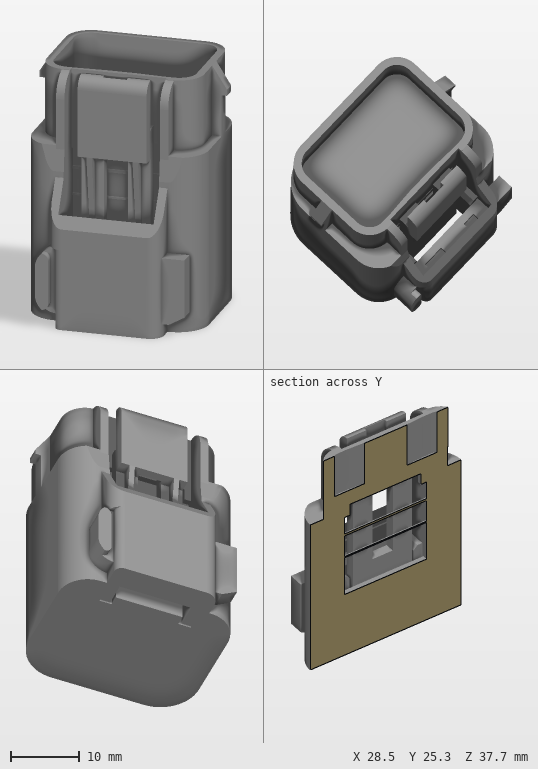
import cadquery as cq
import math

total_height = 37.7
overlap = 0.38

body_height = 26.9
body_half_width = 13.42
body_back = 9.42
body_front = -12.03
body_front_radius = 4.7
body_back_radius = 6.1
back_draft = 0.3
lead_in_back = -11.65
lead_in_top = 26.35
lead_in_bottom = 23.05

collar_half_width = 12.0
collar_half_depth = 8.8
collar_radius = 3.8
collar_wall = 1.15
cavity_floor = 30.25
cavity_bulge = 0.25
cavity_bulge_half_width = 6.8

lug_width = 2.07
lug_half_span = 14.25
lug_bottom = 33.25
lug_shoulder = 34.2

key_half_width = 1.7
key_height = 30.65

slot_half_width = 7.25
slot_back = -8.18
slot_front = body_front
cheek_half_width = 8.52
cheek_radius = 3.62
relief_back = -7.3
relief_top = 25.5
relief_bottom = 11.3
relief_center_top = 27.5
relief_center_half_width = 6.25
relief_rib_depth = 0.3
relief_ribs = [(22.05, 22.5), (18.02, 18.32)]

latch_half_width = 5.25
latch_front = lead_in_back
latch_bottom = relief_top
latch_radius = 1.9
arm_front = -9.73
arm_top = 30.15
arm_chamfer = 0.4
window_half_width = 1.8
window_bottom = 14.8
latch_notch_front = -10.33
gusset_inner = 3.1
gusset_outer = 3.92
gusset_bottom = 12.45

guide_back = -8.45
guide_top = 13.57
guide_flat_edge = 6.37
guide_inner = 5.65

bracket_front = -15.85
bracket_radius = 2.05
bracket_slope_top = 22.13
bracket_slope_bottom = 15.55
pocket_front = -14.78
pocket_ledge = -14.48
pocket_floor = 12.18
ledge_top = 14.33
set_in_height = 12.3
set_in_side = 7.7
floor_recess_back = -13.15
floor_recess_depth = 0.75
floor_recesses = [(-5.13, -1.75), (3.1, 5.13)]

ear_top = 12.18
ear_bottom = 2.0
ear_front = -14.5
left_ear_edge = -10.55
left_ear_radius = 3.0
pad_front = -15.6
pad_inner = -8.52
pad_top = 11.4
pad_bottom = 2.75
pad_radius = 0.98
right_ear_edge = 11.85
right_ear_chamfer_x = 2.38
right_ear_chamfer_z = 1.35


def box(x0, x1, y0, y1, z0, z1):
    """Axis-aligned block between two opposite corners."""
    return cq.Workplane("XY").box(x1 - x0, y1 - y0, z1 - z0, centered=False).translate((x0, y0, z0))


def side_profile(points, x0, x1):
    """Extrude a (Y, Z) polygon from x0 to x1."""
    return cq.Workplane("YZ").workplane(offset=x0).polyline(points).close().extrude(x1 - x0)


def front_profile(points, y0, y1):
    """Extrude an (X, Z) polygon from y0 (front) to y1 (back)."""
    return cq.Workplane("XZ").workplane(offset=-y1).polyline(points).close().extrude(y1 - y0)


def mirror_x(shape):
    """Shape together with its mirror image across the YZ plane."""
    return shape.union(shape.mirror("YZ"))


def body_outline(z, draft):
    """Rounded body outline at height z with its back face drawn in by the draft."""
    w = body_half_width
    back = body_back - draft
    rb = body_back_radius - draft
    rf = body_front_radius
    k = 1 - math.sqrt(0.5)
    return (
        cq.Workplane("XY").workplane(offset=z)
        .moveTo(-w + rf, body_front)
        .lineTo(w - rf, body_front)
        .threePointArc((w - rf * k, body_front + rf * k), (w, body_front + rf))
        .lineTo(w, back - rb)
        .threePointArc((w - rb * k, back - rb * k), (w - rb, back))
        .lineTo(-w + rb, back)
        .threePointArc((-w + rb * k, back - rb * k), (-w, back - rb))
        .lineTo(-w, body_front + rf)
        .threePointArc((-w + rf * k, body_front + rf * k), (-w + rf, body_front))
        .close().wire().val()
    )


def make_body():
    ruled = True
    outlines = [body_outline(0, 0), body_outline(body_height, back_draft)]
    body = cq.Workplane(cq.Solid.makeLoft(outlines, ruled))
    slope = (lead_in_back - body_front) / (lead_in_top - lead_in_bottom)
    top_y = lead_in_back + slope * (body_height - lead_in_top)
    lead_in = [(body_front, lead_in_bottom), (top_y, body_height), (body_front, body_height)]
    return body.cut(side_profile(lead_in, -body_half_width, body_half_width))


def make_collar():
    return (
        cq.Workplane("XY")
        .rect(2 * collar_half_width, 2 * collar_half_depth)
        .extrude(total_height)
        .edges("|Z").fillet(collar_radius)
    )


def make_cavity():
    half_width = collar_half_width - collar_wall
    half_depth = collar_half_depth - collar_wall
    depth = total_height - cavity_floor
    cavity = (
        cq.Workplane("XY").workplane(offset=cavity_floor)
        .rect(2 * half_width, 2 * half_depth).extrude(depth)
        .edges("|Z").fillet(collar_radius - collar_wall)
    )
    bulge = (
        cq.Workplane("XY").workplane(offset=cavity_floor)
        .moveTo(-cavity_bulge_half_width, -half_depth)
        .threePointArc((0, -half_depth + cavity_bulge), (cavity_bulge_half_width, -half_depth))
        .close().extrude(depth)
    )
    return cavity.cut(bulge)


def make_lugs():
    root = collar_half_width - collar_wall / 2
    outline = [
        (root, body_height), (body_half_width, body_height), (body_half_width, lug_bottom),
        (lug_half_span, lug_bottom), (lug_half_span, lug_shoulder),
        (collar_half_width, total_height), (root, total_height),
    ]
    return mirror_x(front_profile(outline, -lug_width / 2, lug_width / 2))


def make_key():
    root = collar_half_depth - collar_wall / 2
    spring = key_height - key_half_width
    return (
        cq.Workplane("XZ").workplane(offset=-body_back)
        .moveTo(-key_half_width, 0).lineTo(key_half_width, 0)
        .lineTo(key_half_width, spring)
        .threePointArc((0, key_height), (-key_half_width, spring))
        .close().extrude(body_back - root)
    )


def make_cheeks():
    block = box(-cheek_half_width, cheek_half_width, lead_in_back, 0, lead_in_top - overlap, total_height)
    return block.faces(">Z").edges("<Y").fillet(cheek_radius)


def make_bracket():
    """Solid bracket in front of the body, its top sloping down to the front."""
    w = cheek_half_width
    bracket = box(-w, w, bracket_front, body_front + overlap, 0, bracket_slope_top)
    bracket = bracket.edges("|Z and <Y").fillet(bracket_radius)
    slope = [
        (body_front, bracket_slope_top), (bracket_front, bracket_slope_bottom),
        (bracket_front, bracket_slope_top),
    ]
    bracket = bracket.cut(side_profile(slope, -w, w))
    set_in = w - set_in_side
    strip = box(-w, -set_in_side + bracket_radius, bracket_front, body_front, 0, set_in_height)
    keep = box(-set_in_side, 0, bracket_front, body_front, 0, set_in_height)
    keep = keep.edges("|Z and <Y and <X").fillet(bracket_radius - set_in)
    return bracket.cut(strip).union(keep)


def make_left_ear():
    def ear(y_front):
        right = left_ear_edge + 2 * left_ear_radius
        block = box(left_ear_edge, right, y_front, body_front, ear_bottom, ear_top)
        return block.edges("|Y and <X").fillet(left_ear_radius)

    base = ear(ear_front).intersect(
        box(left_ear_edge, -set_in_side + overlap, ear_front, body_front, ear_bottom, ear_top))
    pad_limit = box(left_ear_edge - overlap, pad_inner, pad_front, body_front, pad_bottom, pad_top)
    pad_limit = pad_limit.edges("|Y and >X").fillet(pad_radius)
    return base.union(ear(pad_front).intersect(pad_limit))


def make_right_ear():
    root = cheek_half_width - overlap
    outline = [
        (root, ear_bottom), (right_ear_edge - right_ear_chamfer_x, ear_bottom),
        (right_ear_edge, ear_bottom + right_ear_chamfer_z), (right_ear_edge, ear_top), (root, ear_top),
    ]
    return front_profile(outline, ear_front, body_front)


def make_slot():
    """Through slot for the latch, with a relief behind it crossed by shallow ribs."""
    w = slot_half_width
    slot = box(-w, w, slot_front, slot_back, 0, total_height)
    slot = slot.union(box(-w, w, slot_back, relief_back, relief_bottom, relief_top))
    center = relief_center_half_width
    slot = slot.union(box(-center, center, slot_back, relief_back, relief_top, relief_center_top))
    for bottom, top in relief_ribs:
        slot = slot.cut(box(-w, w, relief_back - relief_rib_depth, relief_back, bottom, top))
    return slot


def make_pocket():
    """Pocket in the bracket, open to the slot, with two small floor recesses."""
    w = slot_half_width
    pocket = box(-w, w, pocket_front, slot_front, ledge_top, total_height)
    pocket = pocket.union(box(-w, w, pocket_ledge, slot_front, pocket_floor, ledge_top))
    for x0, x1 in floor_recesses:
        recess = box(x0, x1, pocket_ledge, floor_recess_back, pocket_floor - floor_recess_depth, pocket_floor)
        pocket = pocket.union(recess)
    return pocket


def make_latch():
    w = latch_half_width
    arms = box(-w, w, arm_front, slot_back, 0, arm_top)
    arms = arms.faces(">Z").edges("<Y").chamfer(arm_chamfer)
    arms = arms.cut(box(-window_half_width, window_half_width, arm_front, slot_back, window_bottom, arm_top))

    plate = box(-w, w, latch_front, arm_front, latch_bottom, total_height)
    plate = plate.faces(">Z").edges("<Y").fillet(latch_radius)
    plate = plate.cut(
        box(-window_half_width, window_half_width, latch_notch_front, arm_front, latch_bottom, total_height))

    gusset = [(arm_front, gusset_bottom), (latch_front, latch_bottom), (arm_front, latch_bottom)]
    gussets = mirror_x(side_profile(gusset, gusset_inner, gusset_outer))
    return arms.union(plate).union(gussets)


def make_guides():
    outline = [
        (slot_half_width, 0), (slot_half_width, guide_top), (guide_flat_edge, guide_top),
        (guide_inner, guide_top - (guide_flat_edge - guide_inner)), (guide_inner, 0),
    ]
    return mirror_x(front_profile(outline, slot_front, guide_back))


housing = make_body().union(make_collar()).union(make_lugs()).union(make_key())
housing = housing.union(make_cheeks()).union(make_bracket())
housing = housing.union(make_left_ear()).union(make_right_ear())
housing = housing.cut(make_cavity()).cut(make_slot()).cut(make_pocket())
result = housing.union(make_latch()).union(make_guides())